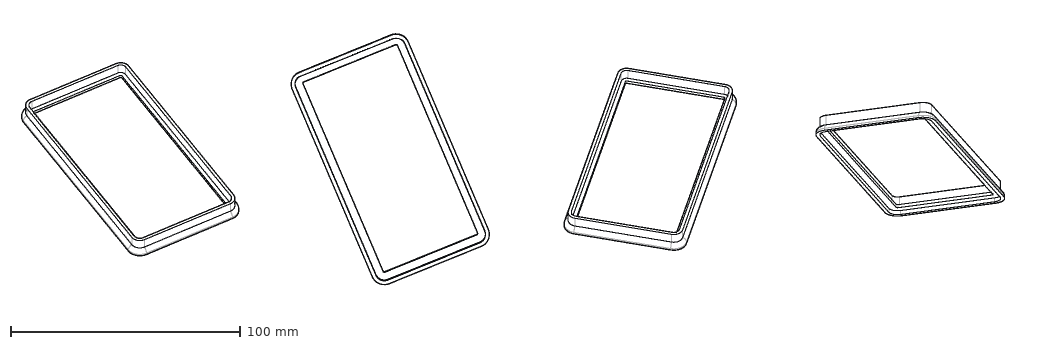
import cadquery as cq

length = 102.5
width = 54.9
height = 7.8
corner_radius = 5.7

wall_inset = 1.7
pocket_inset = 3.2
opening_inset = 5.1
recess_inset = wall_inset

pocket_draft = 2.0

lip_bottom = 1.8
ledge_height = 3.3
base_edge_height = 0.9
flange_radius = 2.4


def rounded_outline(inset, level):
    """Rounded rectangle set in from the outer edge at a given height."""
    outline = cq.Sketch().rect(length - 2 * inset, width - 2 * inset)
    outline = outline.vertices().fillet(corner_radius - inset)
    return cq.Workplane("XY", origin=(0, 0, level)).placeSketch(outline)


def rounded_block(inset, bottom, top):
    """Upright block with the rounded outline."""
    return rounded_outline(inset, bottom).extrude(top - bottom)


def rounded_flange():
    """Base flange with a large round along its upper outer edge."""
    block = rounded_block(0, 0, base_edge_height + flange_radius)
    return block.faces(">Z").edges().fillet(flange_radius)


def tapered_pocket():
    """Pocket that narrows from the top rim down to the ledge."""
    depth = height - ledge_height
    return rounded_outline(pocket_inset, height).extrude(-depth, taper=pocket_draft)


body = rounded_flange().union(rounded_block(wall_inset, 0, height))

opening = rounded_block(opening_inset, 0, height)
recess = rounded_block(recess_inset, 0, lip_bottom)
result = body.cut(tapered_pocket()).cut(recess).cut(opening)